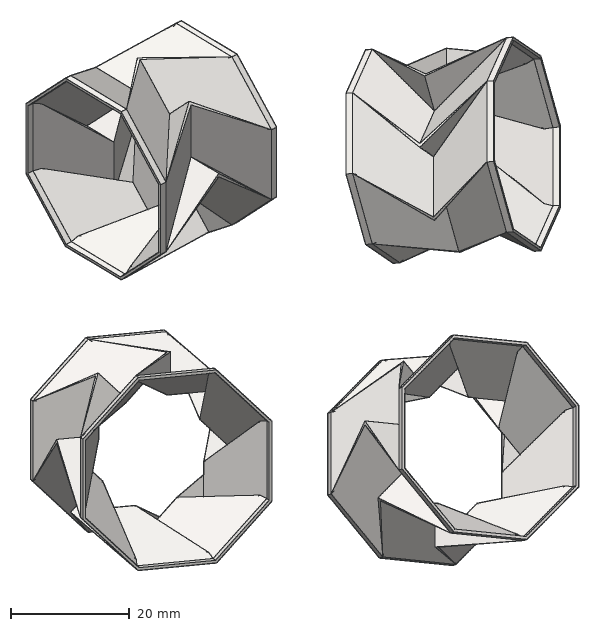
import cadquery as cq
import math

SIDES = 8
ACROSS_FLATS = 33.8
LENGTH = 26.4
PLEAT_LENGTH = 24.0
RIM_WALL = 0.5
VALLEY_APOTHEM = 9.97
VALLEY_END = -3.48
FOLD_DROP = 0.6
STEP_THICKNESS = 0.6

apothem = ACROSS_FLATS / 2
inner_apothem = apothem - RIM_WALL
half_pleat = PLEAT_LENGTH / 2
corner_x = apothem * math.tan(math.pi / SIDES)


def octagon_prism(flat_distance):
    """Full-length octagonal bar with flats at the given distance from the Y axis."""
    corner_diameter = 2 * flat_distance / math.cos(math.pi / SIDES)
    return (
        cq.Workplane("XZ")
        .transformed(rotate=(0, 0, 180 / SIDES))
        .polygon(SIDES, corner_diameter)
        .extrude(LENGTH / 2, both=True)
    )


def pleat(side_apothem, valley_apothem, step_shift):
    """Wedge sunk into the top side, stopped towards +X by a chevron-shaped step."""
    step_corner_x = corner_x + step_shift
    wedge = (
        cq.Workplane("YZ", origin=(-apothem, 0, 0))
        .moveTo(-half_pleat, side_apothem)
        .lineTo(0, valley_apothem)
        .lineTo(half_pleat, side_apothem)
        .lineTo(half_pleat, ACROSS_FLATS)
        .lineTo(-half_pleat, ACROSS_FLATS)
        .close()
        .extrude(apothem + step_corner_x)
    )
    chevron = (
        cq.Workplane("XY")
        .moveTo(-apothem, -half_pleat)
        .lineTo(step_corner_x, -half_pleat)
        .lineTo(VALLEY_END + step_shift, 0)
        .lineTo(step_corner_x, half_pleat)
        .lineTo(-apothem, half_pleat)
        .close()
        .extrude(ACROSS_FLATS)
    )
    return wedge.intersect(chevron)


def around_axis(body):
    """Copies of the body, one for each side of the octagon."""
    return [body.rotate((0, 0, 0), (0, 1, 0), i * 360 / SIDES) for i in range(SIDES)]


groove = pleat(apothem, VALLEY_APOTHEM, 0)
inner_block = pleat(inner_apothem, VALLEY_APOTHEM - FOLD_DROP, STEP_THICKNESS)

bore = octagon_prism(inner_apothem)
for block in around_axis(inner_block):
    bore = bore.cut(block)

result = octagon_prism(apothem).cut(bore)
for side_groove in around_axis(groove):
    result = result.cut(side_groove)